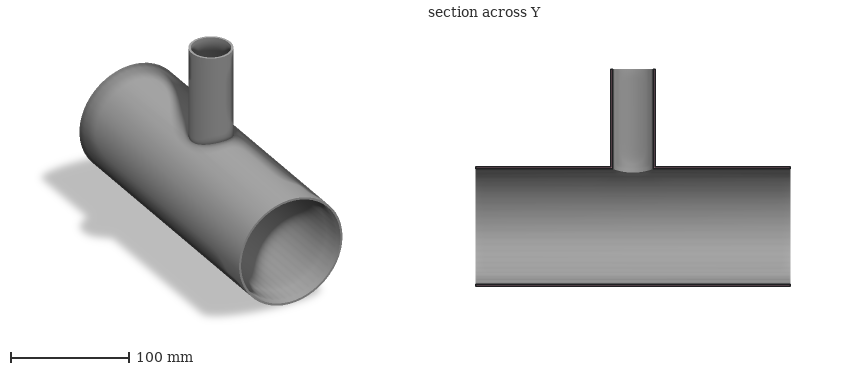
import cadquery as cq

pipe_length = 266.8
pipe_outer_diameter = 101.7
wall_thickness = 2.0

branch_outer_diameter = 38.2
branch_top = pipe_length / 2

pipe_bore_diameter = pipe_outer_diameter - 2 * wall_thickness
branch_bore_diameter = branch_outer_diameter - 2 * wall_thickness


def pipe_cylinder(diameter):
    """Full-length cylinder on the main pipe axis."""
    return cq.Workplane("YZ").circle(diameter / 2).extrude(pipe_length / 2, both=True)


def branch_cylinder(diameter):
    """Cylinder from the main pipe axis up to the open end of the branch."""
    return cq.Workplane("XY").circle(diameter / 2).extrude(branch_top)


outer_body = pipe_cylinder(pipe_outer_diameter).union(branch_cylinder(branch_outer_diameter))
result = outer_body.cut(pipe_cylinder(pipe_bore_diameter)).cut(branch_cylinder(branch_bore_diameter))